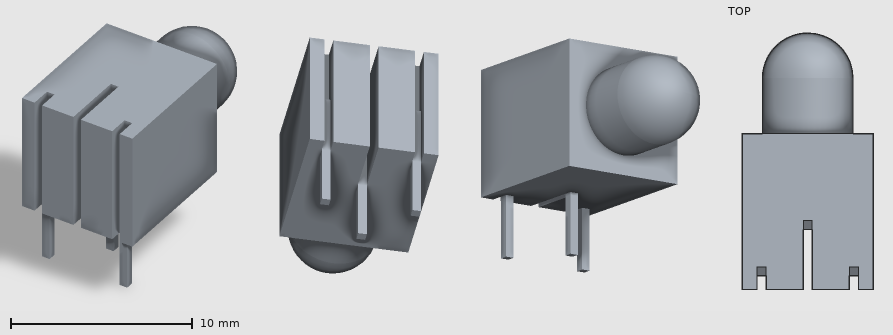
import math

import cadquery as cq

HOUSING_WIDTH = 7.24
HOUSING_DEPTH = 8.6
HOUSING_HEIGHT = HOUSING_WIDTH
AXIS_HEIGHT = HOUSING_HEIGHT / 2

OVERALL_LENGTH = 14.14
LENS_RADIUS = 2.5
BARREL_END = OVERALL_LENGTH - LENS_RADIUS

LEAD_SIZE = 0.5
LEAD_PITCH = 2.55
LEAD_LENGTH = 3.5
OUTER_LEAD_FRONT = 0.76
MIDDLE_LEAD_FRONT = OUTER_LEAD_FRONT + LEAD_PITCH

LEFT_LEAD = (-LEAD_PITCH, OUTER_LEAD_FRONT)
MIDDLE_LEAD = (0, MIDDLE_LEAD_FRONT)
RIGHT_LEAD = (LEAD_PITCH, OUTER_LEAD_FRONT)


def slot_block(x_center, depth, bottom, top):
    """Block one lead wide, reaching from the housing's front face back to the given depth."""
    block = cq.Workplane("XY").box(LEAD_SIZE, depth, top - bottom, centered=(True, False, False))
    return block.translate((x_center, 0, bottom))


def cut_stepped_slot(body, lead):
    """Cut a slot as deep as the lead's back above the axis, and as its front below the axis."""
    x_center, lead_front = lead
    upper = slot_block(x_center, lead_front + LEAD_SIZE, AXIS_HEIGHT, HOUSING_HEIGHT)
    lower = slot_block(x_center, lead_front, 0, AXIS_HEIGHT)
    return body.cut(upper).cut(lower)


def make_lens():
    """Lens turned about the Y-parallel axis at the middle of the housing's height."""
    arc_offset = LENS_RADIUS * math.sqrt(0.5)
    profile = (
        cq.Workplane("XY", origin=(0, 0, AXIS_HEIGHT))
        .moveTo(0, HOUSING_DEPTH)
        .lineTo(-LENS_RADIUS, HOUSING_DEPTH)
        .lineTo(-LENS_RADIUS, BARREL_END)
        .threePointArc((-arc_offset, BARREL_END + arc_offset), (0, OVERALL_LENGTH))
        .close()
    )
    return profile.revolve(360, (0, 0, 0), (0, 1, 0))


def make_lead(lead):
    """Square lead hanging from the housing's bottom face, flush with its slot's lower step."""
    x_center, lead_front = lead
    pin = cq.Workplane("XY").box(LEAD_SIZE, LEAD_SIZE, LEAD_LENGTH, centered=(True, False, False))
    return pin.translate((x_center, lead_front, -LEAD_LENGTH))


def make_housing():
    """Slotted block with the lens and the right-hand lead formed on it as one solid."""
    body = cq.Workplane("XY").box(
        HOUSING_WIDTH, HOUSING_DEPTH, HOUSING_HEIGHT, centered=(True, False, False)
    )
    for lead in (LEFT_LEAD, MIDDLE_LEAD, RIGHT_LEAD):
        body = cut_stepped_slot(body, lead)
    return body.union(make_lens()).union(make_lead(RIGHT_LEAD)).clean().solids()


housing = make_housing()

separate_leads = [make_lead(lead) for lead in (LEFT_LEAD, MIDDLE_LEAD)]

result = cq.Compound.makeCompound([housing.val(), *[lead.val() for lead in separate_leads]])